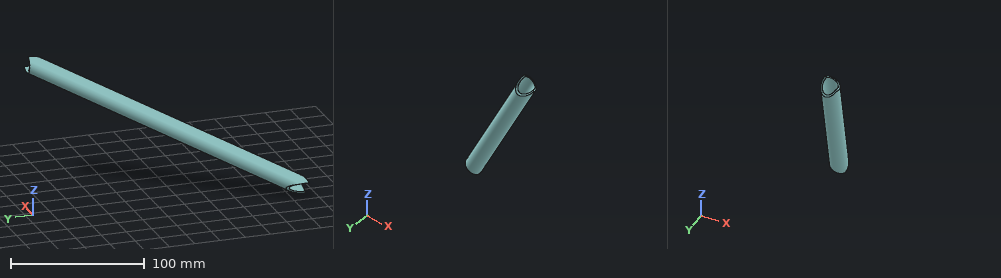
import cadquery as cq

outer_radius = 7.5
wall = 1.5
axis_run_x = 0.565
axis_run_z = 0.468

upper_reach = 93.1
lower_reach = 93.5
slant_rise = 0.3
cutter_length = 111.7

pipe_radius = 14.0
pipe_setback = 11.0

blank_extra = 37.2

axis_per_y = cq.Vector(axis_run_x, 1, axis_run_z)
lower_joint = axis_per_y * -lower_reach
upper_joint = axis_per_y * upper_reach
tube_direction = axis_per_y.normalized()
direction_xz = cq.Vector(axis_run_x, 0, axis_run_z).normalized()
along_y = cq.Vector(0, 1, 0)

upper_mate_direction = cq.Vector(axis_run_x, -1, axis_run_z)


def rod(center, direction, radius, length):
    """Solid round bar centred on a point and lying along a direction."""
    direction = direction.normalized()
    start = center - direction * (length / 2)
    return cq.Workplane(obj=cq.Solid.makeCylinder(radius, length, start, direction))


blank_length = 2 * (lower_joint.Length + blank_extra)
center = cq.Vector(0, 0, 0)

tube = rod(center, tube_direction, outer_radius, blank_length)
tube = tube.cut(rod(center, tube_direction, outer_radius - wall, blank_length))

coped = tube.cut(rod(upper_joint, upper_mate_direction, outer_radius, cutter_length))

pipe_center = lower_joint - direction_xz * pipe_setback
coped = coped.cut(rod(pipe_center, along_y, pipe_radius, cutter_length))

slant_normal = direction_xz * slant_rise - along_y
slant_plane = cq.Plane(origin=lower_joint.toTuple(), normal=slant_normal.toTuple())
coped = coped.cut(cq.Workplane(slant_plane).rect(cutter_length, cutter_length).extrude(cutter_length))

result = cq.Workplane(max(coped.solids().vals(), key=lambda piece: piece.Volume()))